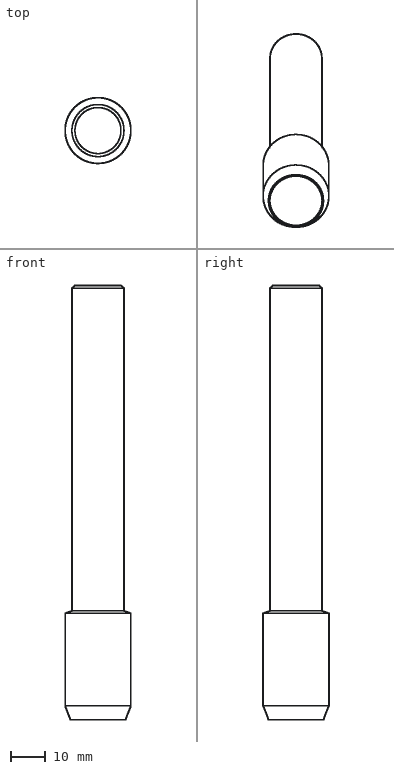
import cadquery as cq

total_length = 125.0
sleeve_diameter = 19.0
pin_diameter = 15.0

sleeve_length = 31.4
sleeve_taper_height = 4.0
sleeve_bottom_diameter = 15.9
sleeve_top_slope_height = 0.8

pin_chamfer = 0.9


def make_sleeve():
    """Tube with a tapered lower end, a shallow conical top and a through bore for the pin."""
    outer_radius = sleeve_diameter / 2
    bore_radius = pin_diameter / 2
    return (
        cq.Workplane("XZ")
        .moveTo(bore_radius, 0)
        .lineTo(sleeve_bottom_diameter / 2, 0)
        .lineTo(outer_radius, sleeve_taper_height)
        .lineTo(outer_radius, sleeve_length - sleeve_top_slope_height)
        .lineTo(bore_radius, sleeve_length)
        .close()
        .revolve(360, (0, 0, 0), (0, 1, 0))
    )


def make_pin():
    """Straight round pin running the full length, chamfered at its top end."""
    return (
        cq.Workplane("XY")
        .circle(pin_diameter / 2)
        .extrude(total_length)
        .faces(">Z")
        .edges()
        .chamfer(pin_chamfer)
    )


sleeve = make_sleeve()
pin = make_pin()

result = cq.Compound.makeCompound([sleeve.val(), pin.val()])